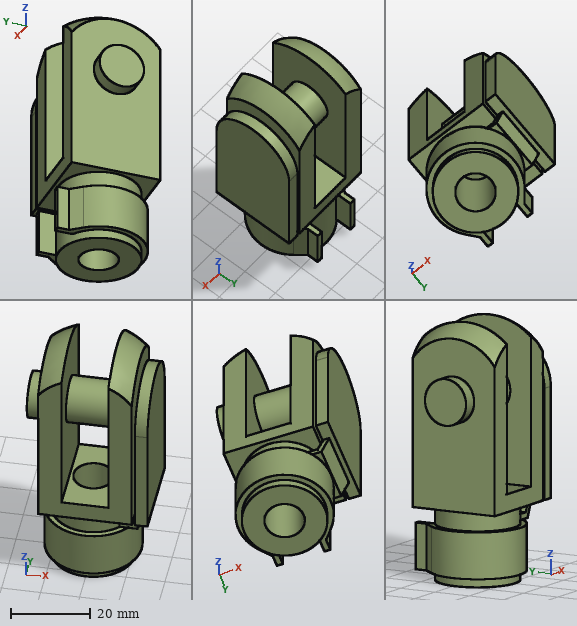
import cadquery as cq
import math

fork_width = 24.0
slot_width = fork_width / 2
fork_bottom = 19.35
slot_floor = 24.0
total_height = 67.0
dome_radius = 19.0

neck_radius = 10.8
bore_radius = 5.1
pin_radius = fork_width / 4
pin_height = 48.05
pin_half_length = 16.0

ring_wall = 1.6
ring_radius = neck_radius + ring_wall
ring_bottom = 2.4
ring_top = 14.4
ear_outer_x = 7.2
ear_inner_x = ear_outer_x - ring_wall
ear_end_y = 13.95

plate_thickness = 3.2
plate_inner_x = pin_half_length - plate_thickness
arm_width = 14.5
tab_inner_x = 8.0
tab_outer_x = 12.5
tab_bend_x = 11.5
arm_top_inner_x = 13.0
arm_top_outer_x = 14.6


def make_fork():
    height = total_height - fork_bottom
    block = (
        cq.Workplane("XY")
        .workplane(offset=fork_bottom)
        .box(fork_width, fork_width, height, centered=(True, True, False))
    )
    dome_center = total_height - math.sqrt(dome_radius**2 - (slot_width / 2) ** 2)
    dome = cq.Workplane("XY").workplane(offset=dome_center).sphere(dome_radius)
    shaft = cq.Workplane("XY").circle(dome_radius).extrude(dome_center)
    slot = (
        cq.Workplane("XY")
        .workplane(offset=slot_floor)
        .box(slot_width, 2 * fork_width, total_height, centered=(True, True, False))
    )
    return block.intersect(shaft.union(dome)).cut(slot)


def make_neck():
    return cq.Workplane("XY").circle(neck_radius).extrude(fork_bottom)


def make_shank_bore():
    return cq.Workplane("XY").circle(bore_radius).extrude(slot_floor)


def make_pin():
    return (
        cq.Workplane("YZ")
        .workplane(offset=-pin_half_length)
        .center(0, pin_height)
        .circle(pin_radius)
        .extrude(2 * pin_half_length)
    )


def tangent_point(radius, ear_x):
    """Point where the straight stretch from the ear meets the ring circle."""
    ear_y = neck_radius
    angle = math.atan2(ear_y, ear_x) - math.acos(radius / math.hypot(ear_x, ear_y))
    return radius * math.cos(angle), radius * math.sin(angle)


def make_ring():
    outer_x, outer_y = tangent_point(ring_radius, ear_outer_x)
    height = ring_top - ring_bottom
    base = cq.Workplane("XY").workplane(offset=ring_bottom)
    body = (
        base.moveTo(ear_outer_x, ear_end_y)
        .lineTo(ear_outer_x, neck_radius)
        .lineTo(outer_x, outer_y)
        .threePointArc((0, -ring_radius), (-outer_x, outer_y))
        .lineTo(-ear_outer_x, neck_radius)
        .lineTo(-ear_outer_x, ear_end_y)
        .close()
        .extrude(height)
    )
    bore = base.circle(neck_radius).extrude(height)
    gap = base.center(0, ear_end_y / 2).rect(2 * ear_inner_x, ear_end_y).extrude(height)
    return body.cut(bore).cut(gap)


def make_clip():
    plate_start = cq.Workplane("YZ").workplane(offset=plate_inner_x)
    plate = (
        plate_start.moveTo(-fork_width / 2, fork_bottom)
        .lineTo(fork_width / 2, fork_bottom)
        .lineTo(fork_width / 2, pin_height)
        .threePointArc((0, pin_height + fork_width / 2), (-fork_width / 2, pin_height))
        .close()
        .extrude(plate_thickness)
    )
    tab_top = ring_top + ring_wall
    arm = (
        cq.Workplane("XZ")
        .polyline([
            (tab_inner_x, ring_top),
            (tab_outer_x, ring_top),
            (arm_top_outer_x, fork_bottom),
            (arm_top_inner_x, fork_bottom),
            (tab_bend_x, tab_top),
            (tab_inner_x, tab_top),
        ])
        .close()
        .extrude(arm_width / 2, both=True)
    )
    return plate.union(arm)


result = make_fork()
for piece in (make_neck(), make_pin(), make_ring(), make_clip()):
    result = result.union(piece)
result = result.cut(make_shank_bore())